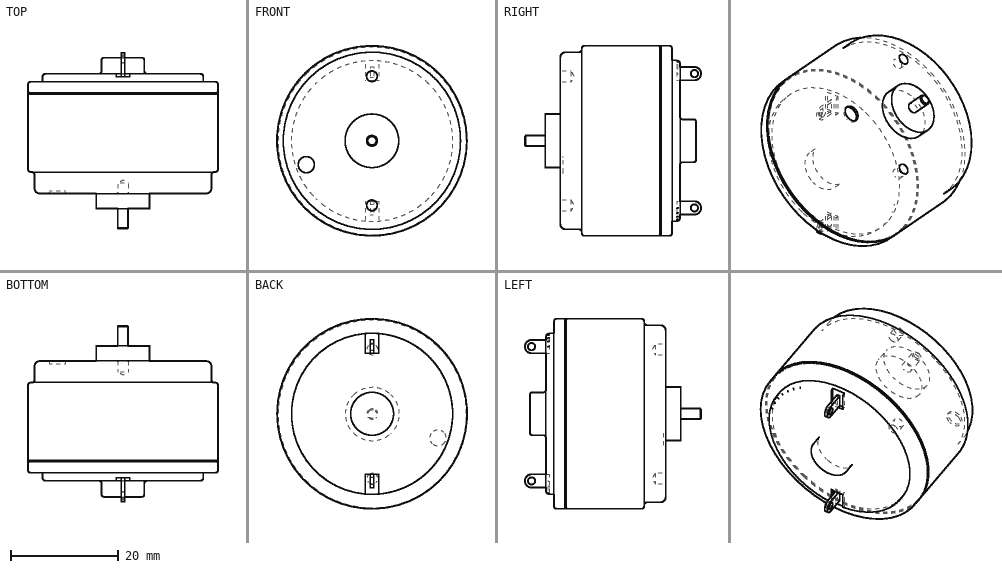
import cadquery as cq
import math


can_diameter = 35.4
groove_diameter = 35.0
nose_diameter = 33.0
cap_diameter = 30.0
front_boss_diameter = 10.0
rear_boss_diameter = 8.0
shaft_diameter = 2.0

shaft_tip = -6.6
front_boss_face = -2.8
nose_face = 0.0
can_front = 4.0
groove_front = 18.5
groove_width = 0.25
can_rear = 20.8
cap_rear = 22.3
rear_boss_face = 25.3
terminal_tip = 26.23

edge_radius = 0.5
nose_radius = 1.0
cap_radius = 0.6
shaft_chamfer = 0.2

mount_diameter = 2.0
mount_offset = 12.0
mount_depth = 2.0
drill_tip_angle = 118.0
recess_diameter = 3.0
recess_orbit = 13.0
recess_angle = 200.0
recess_depth = 0.5

terminal_offset = 12.5
terminal_width = 2.5
terminal_thickness = 0.6
terminal_hole_diameter = 1.3
notch_depth = cap_radius
terminal_root = cap_rear - notch_depth - 0.35


def disc(diameter, start, end):
    """Solid cylinder on the Y axis between two positions."""
    return cq.Workplane("XZ", origin=(0, start, 0)).circle(diameter / 2).extrude(start - end)


def ring_edge(body, diameter, position):
    """Circular edge of the given diameter at a position on the Y axis."""
    radius = diameter / 2
    tolerance = 0.018
    low = (-radius - tolerance, position - tolerance, -radius - tolerance)
    high = (radius + tolerance, position + tolerance, radius + tolerance)
    inner = radius - tolerance
    inner_low = (-inner, position - tolerance, -inner)
    inner_high = (inner, position + tolerance, inner)
    return body.edges(cq.selectors.BoxSelector(low, high, boundingbox=True)
                      - cq.selectors.BoxSelector(inner_low, inner_high, boundingbox=True))


def turned_body():
    """Can, nose, end cap, bosses and shaft with their rounded edges."""
    body = (
        disc(can_diameter, can_front, can_rear)
        .union(disc(nose_diameter, nose_face, can_front))
        .union(disc(cap_diameter, can_rear, cap_rear))
        .union(disc(front_boss_diameter, front_boss_face, nose_face))
        .union(disc(rear_boss_diameter, cap_rear, rear_boss_face))
        .union(disc(shaft_diameter, shaft_tip, front_boss_face))
    )
    rounded_edges = [
        (can_diameter, can_front, edge_radius),
        (can_diameter, can_rear, edge_radius),
        (nose_diameter, can_front, edge_radius),
        (nose_diameter, nose_face, nose_radius),
        (cap_diameter, cap_rear, cap_radius),
        (rear_boss_diameter, cap_rear, edge_radius),
        (rear_boss_diameter, rear_boss_face, edge_radius),
    ]
    for diameter, position, radius in rounded_edges:
        body = ring_edge(body, diameter, position).fillet(radius)
    body = ring_edge(body, shaft_diameter, shaft_tip).chamfer(shaft_chamfer)

    groove_rear = groove_front + groove_width
    groove = disc(can_diameter, groove_front, groove_rear).cut(
        disc(groove_diameter, groove_front, groove_rear)
    )
    return body.cut(groove)


def mounting_hole(z):
    """Blind drilled hole with a conical bottom, as a cutting solid."""
    radius = mount_diameter / 2
    tip_length = radius / math.tan(math.radians(drill_tip_angle / 2))
    return (
        cq.Workplane("XY")
        .polyline([
            (0, nose_face),
            (radius, nose_face),
            (radius, nose_face + mount_depth),
            (0, nose_face + mount_depth + tip_length),
        ])
        .close()
        .revolve(360, (0, 0, 0), (0, 1, 0))
        .translate((0, 0, z))
    )


def front_recess():
    """Shallow round recess, as a cutting solid."""
    angle = math.radians(recess_angle)
    x = recess_orbit * math.cos(angle)
    z = recess_orbit * math.sin(angle)
    return disc(recess_diameter, nose_face, nose_face + recess_depth).translate((x, 0, z))


def cap_notch(side):
    """Radial notch from a terminal's inner edge out through the cap rim, as a cutting solid."""
    inner = terminal_offset - terminal_width / 2
    length = cap_diameter / 2 - inner
    return cq.Workplane("XY").box(terminal_width, notch_depth, length).translate(
        (0, cap_rear - notch_depth / 2, side * (inner + length / 2))
    )


def terminal(side):
    """Flat solder tab with a rounded, pierced end."""
    end_radius = terminal_width / 2
    eye = terminal_tip - end_radius
    bottom = side * terminal_offset - end_radius
    top = side * terminal_offset + end_radius
    return (
        cq.Workplane("YZ")
        .moveTo(terminal_root, bottom)
        .lineTo(eye, bottom)
        .threePointArc((terminal_tip, side * terminal_offset), (eye, top))
        .lineTo(terminal_root, top)
        .close()
        .moveTo(eye, side * terminal_offset)
        .circle(terminal_hole_diameter / 2)
        .extrude(terminal_thickness / 2, both=True)
    )


result = turned_body().cut(front_recess())
for side in (-1, 1):
    result = result.cut(mounting_hole(side * mount_offset))
    result = result.cut(cap_notch(side)).union(terminal(side))